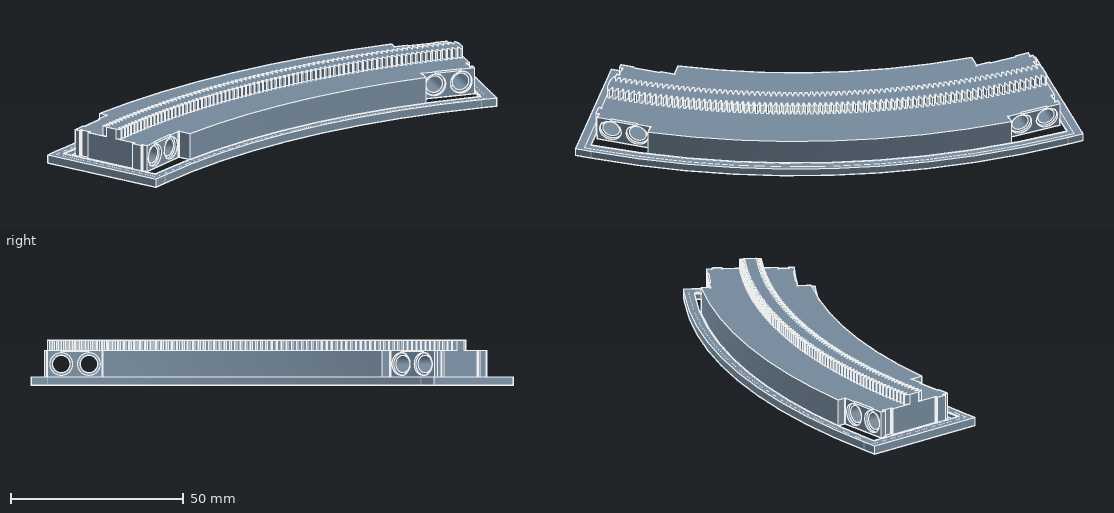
import cadquery as cq
import math

OVERALL_LENGTH = 140.0
BEND_RADIUS = 200.0
BEND_ANGLE = math.atan2(3, 4)

FRAME_HEIGHT = 2.5
RAIL_WIDTH = 3.0
LIP_WIDTH = 1.5
LIP_THICKNESS = 0.3
SIDE_GAP = 0.3
END_GAP = 0.8

BODY_BOTTOM = FRAME_HEIGHT - LIP_THICKNESS
BODY_HEIGHT = 8.0
BODY_TOP = BODY_BOTTOM + BODY_HEIGHT
BODY_HALF_WIDTH = 16.0
NECK_HALF_WIDTH = 12.7
NECK_LENGTH = 16.1

KEY_WIDTH = 3.0
KEY_OFFSET = 9.7

RELIEF_DIAMETER = 0.4

EDGE_CHAMFER = 0.4

HOLE_DIAMETER = 5.0
COUNTERBORE_DIAMETER = 6.6
COUNTERBORE_DEPTH = 0.8
HOLE_PITCH = NECK_LENGTH / 2
HOLE_STATIONS = (HOLE_PITCH / 2, HOLE_PITCH * 3 / 2)

RACK_HEIGHT = 3.0
RACK_TIP_HALF_WIDTH = 3.2
RACK_ROOT_HALF_WIDTH = 1.7
TOOTH_COUNT = 81
TOOTH_ANGLE = BEND_ANGLE / TOOTH_COUNT
TOOTH_CORNERS = (
    (0.05, RACK_ROOT_HALF_WIDTH),
    (0.35, RACK_TIP_HALF_WIDTH),
    (0.65, RACK_TIP_HALF_WIDTH),
    (0.95, RACK_ROOT_HALF_WIDTH),
)


def bend_point(offset, angle, overhang=0.0):
    """Point at a sideways offset from the centreline, moved on along the tangent by an overhang."""
    radius = BEND_RADIUS - offset
    return (
        BEND_RADIUS - radius * math.cos(angle) + overhang * math.sin(angle),
        radius * math.sin(angle) + overhang * math.cos(angle),
    )


def curved_strip(half_width, overhang, bottom, height):
    """Curved strip of constant width whose two ends run on straight by the overhang."""
    left, right = -half_width, half_width
    outline = cq.Workplane("XY", origin=(0, 0, bottom)).moveTo(*bend_point(left, 0))
    outline = outline.threePointArc(bend_point(left, BEND_ANGLE / 2), bend_point(left, BEND_ANGLE))
    if overhang > 0:
        outline = outline.lineTo(*bend_point(left, BEND_ANGLE, overhang))
        outline = outline.lineTo(*bend_point(right, BEND_ANGLE, overhang))
    outline = outline.lineTo(*bend_point(right, BEND_ANGLE))
    outline = outline.threePointArc(bend_point(right, BEND_ANGLE / 2), bend_point(right, 0))
    if overhang > 0:
        outline = outline.lineTo(*bend_point(right, 0, -overhang))
        outline = outline.lineTo(*bend_point(left, 0, -overhang))
    return outline.close().extrude(height)


def at_far_end(shape):
    """The same shape, modelled on the start face, turned round onto the far end face."""
    turned = shape.rotate((0, 0, 0), (0, 0, 1), 180)
    return turned.rotate((BEND_RADIUS, 0, 0), (BEND_RADIUS, 0, 1), -math.degrees(BEND_ANGLE))


def body_box(x_min, x_max, y_min, y_max):
    """Block over the full height of the body."""
    block = cq.Workplane("XY").box(x_max - x_min, y_max - y_min, BODY_HEIGHT, centered=False)
    return block.translate((x_min, y_min, BODY_BOTTOM))


def corner_cuts():
    """Blocks that narrow one end of the body to its neck."""
    far_side = 2 * BODY_HALF_WIDTH
    right = body_box(NECK_HALF_WIDTH, far_side, -END_GAP, NECK_LENGTH)
    left = body_box(-far_side, -NECK_HALF_WIDTH, -END_GAP, NECK_LENGTH)
    return right.union(left)


def connector_holes():
    """Cross holes through one neck, counterbored at both of its sides."""
    holes = cq.Workplane("YZ")
    bore_length = 2 * NECK_HALF_WIDTH
    for station in HOLE_STATIONS:
        centre = (station, BODY_BOTTOM + BODY_HEIGHT / 2)
        start = cq.Workplane("YZ", origin=(-NECK_HALF_WIDTH, 0, 0)).center(*centre)
        holes = holes.add(start.circle(HOLE_DIAMETER / 2).extrude(bore_length))
        holes = holes.add(start.circle(COUNTERBORE_DIAMETER / 2).extrude(COUNTERBORE_DEPTH))
        end = start.workplane(offset=bore_length)
        holes = holes.add(end.circle(COUNTERBORE_DIAMETER / 2).extrude(-COUNTERBORE_DEPTH))
    return holes.combine()


def key_notch():
    """Notch in the left half of the start face."""
    half = KEY_WIDTH / 2
    return body_box(-KEY_OFFSET - half, -KEY_OFFSET + half, 0, END_GAP)


def key_tab():
    """Tab on the right half of the start face, reaching to the frame."""
    half = KEY_WIDTH / 2
    return body_box(KEY_OFFSET - half, KEY_OFFSET + half, -END_GAP, 0)


def corner_reliefs():
    """Upright round reliefs at the shoulders, the notch floor and the foot of the tab."""
    half = KEY_WIDTH / 2
    corners = []
    for side in (-1, 1):
        corners.append((side * NECK_HALF_WIDTH, NECK_LENGTH))
        corners.append((-KEY_OFFSET + side * half, END_GAP))
        corners.append((KEY_OFFSET + side * half, 0))
    reliefs = cq.Workplane("XY", origin=(0, 0, BODY_BOTTOM)).pushPoints(corners)
    return reliefs.circle(RELIEF_DIAMETER / 2).extrude(BODY_HEIGHT)


def edge_chamfers():
    """Wedges that bevel both upper edges of one neck between its hole axes."""
    start, end = HOLE_STATIONS
    wedge = cq.Workplane("XZ", origin=(0, start, 0)).polyline(
        [
            (NECK_HALF_WIDTH - EDGE_CHAMFER, BODY_TOP),
            (NECK_HALF_WIDTH, BODY_TOP),
            (NECK_HALF_WIDTH, BODY_TOP - EDGE_CHAMFER),
        ]
    )
    wedge = wedge.close().extrude(start - end)
    return wedge.union(wedge.mirror("YZ"))


def rack_edge(side):
    """Points of the toothed edge on one side (-1 left, +1 right), from the start face on."""
    points = [bend_point(side * RACK_ROOT_HALF_WIDTH, 0)]
    for tooth in range(TOOTH_COUNT):
        for fraction, half_width in TOOTH_CORNERS:
            points.append(bend_point(side * half_width, (tooth + fraction) * TOOTH_ANGLE))
    points.append(bend_point(side * RACK_ROOT_HALF_WIDTH, BEND_ANGLE))
    return points


def rack():
    """Curved rack with teeth along both of its sides."""
    outline = rack_edge(-1) + rack_edge(1)[::-1]
    return cq.Workplane("XY", origin=(0, 0, BODY_TOP)).polyline(outline).close().extrude(RACK_HEIGHT)


def build_frame():
    """Frame round the track, with a thin lip along the top of its opening."""
    inner_half_width = BODY_HALF_WIDTH + SIDE_GAP
    outer_half_width = inner_half_width + RAIL_WIDTH
    arc_rise = (BEND_RADIUS + outer_half_width) * math.sin(BEND_ANGLE)
    overhang = (OVERALL_LENGTH - arc_rise) / (1 + math.cos(BEND_ANGLE))
    frame = curved_strip(outer_half_width, overhang, 0, FRAME_HEIGHT)
    opening = curved_strip(inner_half_width, END_GAP, 0, FRAME_HEIGHT)
    undercut_height = FRAME_HEIGHT - LIP_THICKNESS
    undercut = curved_strip(inner_half_width + LIP_WIDTH, END_GAP + LIP_WIDTH, 0, undercut_height)
    return frame.cut(opening).cut(undercut)


def build_track():
    """Track body with its necks, holes, keys and rack."""
    body = curved_strip(BODY_HALF_WIDTH, 0, BODY_BOTTOM, BODY_HEIGHT)
    for cutter in (corner_cuts(), connector_holes(), key_notch()):
        body = body.cut(cutter).cut(at_far_end(cutter))
    body = body.union(key_tab()).union(at_far_end(key_tab()))
    for cutter in (corner_reliefs(), edge_chamfers()):
        body = body.cut(cutter).cut(at_far_end(cutter))
    return body.union(rack())


frame = build_frame()
track = build_track()
result = cq.Compound.makeCompound([frame.val(), track.val()])